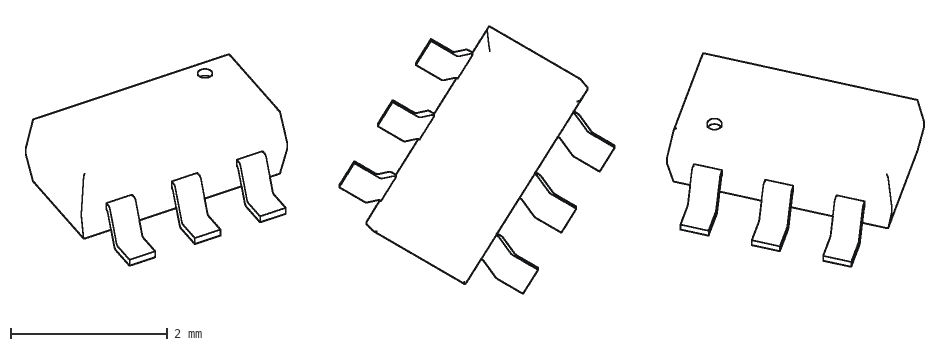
import cadquery as cq
import math

BODY_LENGTH = 3.0
BODY_WIDTH = 1.5
OVERALL_WIDTH = 2.75
OVERALL_HEIGHT = 1.1

BODY_STANDOFF = 0.05
WALL_INSET = 0.072
RIM_RADIUS = 0.04

LEAD_THICKNESS = 0.1
LEAD_WIDTH = 0.375
LEAD_PITCH = 0.95
LEADS_PER_SIDE = 3
LEAD_HEIGHT = 0.59
SHOULDER_LENGTH = 0.087
LEG_ANGLE = 68.0
LEG_THICKNESS = 0.093
OUTER_BEND_RADIUS = 0.048
INNER_BEND_RADIUS = 0.04

MARK_DIAMETER = 0.19
MARK_DEPTH = 0.108
MARK_X = -0.45
MARK_Y = LEAD_PITCH

BELT_TOP = LEAD_HEIGHT
BELT_BOTTOM = LEAD_HEIGHT - LEAD_THICKNESS


def body_slab(base_height, end_height, inset):
    """Extrude the body rectangle between two heights, narrowing by inset on every side."""
    thickness = end_height - base_height
    draft = math.degrees(math.atan(inset / abs(thickness)))
    return (
        cq.Workplane("XY", origin=(0, 0, base_height))
        .rect(BODY_WIDTH, BODY_LENGTH)
        .extrude(thickness, taper=draft)
    )


def make_body():
    """Moulded body: straight belt, tapered halves, rounded rims and a pin-one mark."""
    belt = body_slab(BELT_BOTTOM, BELT_TOP, 0)
    upper_half = body_slab(BELT_TOP, OVERALL_HEIGHT, WALL_INSET)
    lower_half = body_slab(BELT_BOTTOM, BODY_STANDOFF, WALL_INSET)
    body = belt.union(upper_half).union(lower_half)
    body = body.faces(">Z").edges().fillet(RIM_RADIUS)
    body = body.faces("<Z").edges().fillet(RIM_RADIUS)
    mark = (
        cq.Workplane("XY", origin=(MARK_X, MARK_Y, OVERALL_HEIGHT))
        .circle(MARK_DIAMETER / 2)
        .extrude(-MARK_DEPTH)
    )
    return body.cut(mark)


def round_bend(lead, corner, radius):
    """Round the lead's cross-wise edge that passes through the given (x, z) corner."""
    corner_x, corner_z = corner
    edge = lead.edges("|Y").edges(cq.selectors.NearestToPointSelector((corner_x, 0, corner_z)))
    return edge.fillet(radius)


def make_lead():
    """One lead on the +X side, centred on Y = 0, ending flush on the belt wall."""
    wall_x = BODY_WIDTH / 2
    tip_x = OVERALL_WIDTH / 2
    leg_slope = math.radians(LEG_ANGLE)
    leg_run = BELT_BOTTOM / math.tan(leg_slope)
    corner_shift = (LEG_THICKNESS - LEAD_THICKNESS * math.cos(leg_slope)) / math.sin(leg_slope)
    upper_knee_x = wall_x + SHOULDER_LENGTH
    lower_knee_x = upper_knee_x - corner_shift
    shoulder_outer = (upper_knee_x, BELT_TOP)
    shoulder_inner = (lower_knee_x, BELT_BOTTOM)
    foot_inner = (upper_knee_x + leg_run, LEAD_THICKNESS)
    foot_outer = (lower_knee_x + leg_run, 0)
    profile = [
        (wall_x, BELT_TOP),
        shoulder_outer,
        foot_inner,
        (tip_x, LEAD_THICKNESS),
        (tip_x, 0),
        foot_outer,
        shoulder_inner,
        (wall_x, BELT_BOTTOM),
    ]
    lead = (
        cq.Workplane("XZ")
        .polyline(profile)
        .close()
        .extrude(LEAD_WIDTH / 2, both=True)
    )
    for corner in (shoulder_outer, foot_outer):
        lead = round_bend(lead, corner, OUTER_BEND_RADIUS)
    for corner in (shoulder_inner, foot_inner):
        lead = round_bend(lead, corner, INNER_BEND_RADIUS)
    return lead


def place_leads():
    """Copies of the lead in an evenly spaced row along each long side of the body."""
    right_lead = make_lead()
    left_lead = right_lead.rotate((0, 0, 0), (0, 0, 1), 180)
    first_y = -LEAD_PITCH * (LEADS_PER_SIDE - 1) / 2
    leads = []
    for lead in (right_lead, left_lead):
        for index in range(LEADS_PER_SIDE):
            leads.append(lead.translate((0, first_y + index * LEAD_PITCH, 0)).val())
    return leads


body = make_body()
leads = place_leads()
result = cq.Compound.makeCompound([body.val(), *leads])